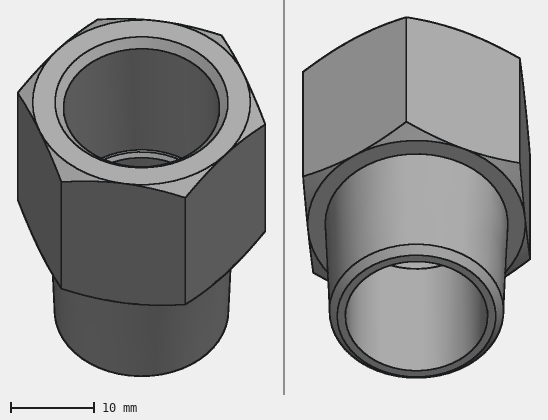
import cadquery as cq
import math

total_height = 39.0
across_flats = 26.0
across_corners = across_flats / math.cos(math.radians(30))
head_height = 21.85
head_bottom = total_height - head_height
corner_chamfer_angle = 30.0

spigot_top_diameter = 21.85
spigot_bottom_diameter = 20.83
spigot_chamfer = 0.95

through_diameter = 17.0
socket_diameter = 18.65
socket_depth = 19.5
step_chamfer_diameter = 17.98
step_chamfer_depth = (step_chamfer_diameter - through_diameter) / 2
mouth_diameter = 20.67
mouth_depth = (mouth_diameter - socket_diameter) / 2


def make_head():
    """Hexagonal prism with its corners turned down to the flats at both ends."""
    prism = (
        cq.Workplane("XY")
        .workplane(offset=head_bottom)
        .polygon(6, across_corners)
        .extrude(head_height)
    )
    face_radius = across_flats / 2
    corner_radius = across_corners / 2
    corner_drop = (corner_radius - face_radius) * math.tan(math.radians(corner_chamfer_angle))
    turned_envelope = (
        cq.Workplane("XZ")
        .moveTo(0, head_bottom)
        .lineTo(face_radius, head_bottom)
        .lineTo(corner_radius, head_bottom + corner_drop)
        .lineTo(corner_radius, total_height - corner_drop)
        .lineTo(face_radius, total_height)
        .lineTo(0, total_height)
        .close()
        .revolve(360, (0, 0), (0, 1))
    )
    return prism.intersect(turned_envelope)


def make_spigot():
    """Taper narrowing downwards, with a chamfered lower end."""
    bottom_radius = spigot_bottom_diameter / 2
    return (
        cq.Workplane("XZ")
        .lineTo(bottom_radius - spigot_chamfer, 0)
        .lineTo(bottom_radius, spigot_chamfer)
        .lineTo(spigot_top_diameter / 2, head_bottom)
        .lineTo(0, head_bottom)
        .close()
        .revolve(360, (0, 0), (0, 1))
    )


def make_bore():
    """Through hole with a chamfered upper edge, opening into a wider socket with a countersunk mouth."""
    socket_radius = socket_diameter / 2
    through_radius = through_diameter / 2
    socket_floor = total_height - socket_depth
    return (
        cq.Workplane("XZ")
        .lineTo(through_radius, 0)
        .lineTo(through_radius, socket_floor - step_chamfer_depth)
        .lineTo(step_chamfer_diameter / 2, socket_floor)
        .lineTo(socket_radius, socket_floor)
        .lineTo(socket_radius, total_height - mouth_depth)
        .lineTo(mouth_diameter / 2, total_height)
        .lineTo(0, total_height)
        .close()
        .revolve(360, (0, 0), (0, 1))
    )


result = make_head().union(make_spigot()).cut(make_bore())